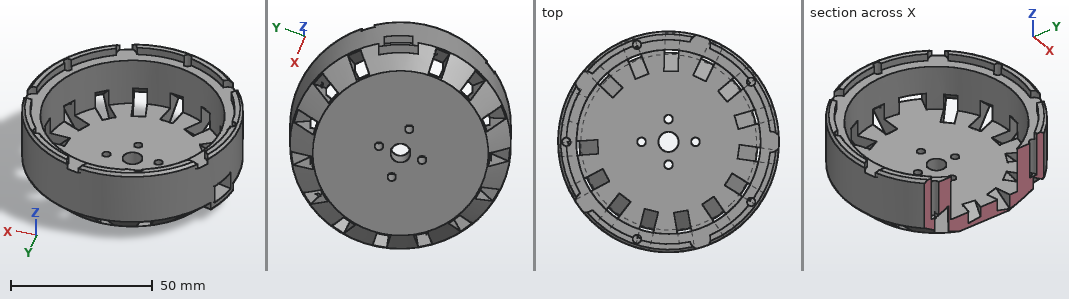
import cadquery as cq
import math

outer_radius = 39.0
height = 28.85
bore_radius = 65.0 / 2
floor_z = 7.0
cone_height = 8.0
base_radius = outer_radius - cone_height
rim_chamfer = 1.0
rim_inner_radius = 36.0
rim_height = 3.0
ledge_z = height - rim_height

center_hole_diameter = 7.0
screw_hole_diameter = 3.0
screw_spacing_x = 19.0
screw_spacing_y = 16.1

rim_feature_count = 5
rim_pitch = 360 / rim_feature_count
first_rim_hole_angle = rim_pitch / 2
rim_hole_bottom_z = 10.8
notch_diameter = 7.3

vent_count = 15
vent_pitch = 360 / vent_count
port_angle = 160.0
vent_width = 5.0
vent_thickness = 10.0
vent_tilt = 45.0
vent_length = outer_radius

port_width = 10.0
port_height = 7.0
block_width = 14.0
block_bottom_z = 5.0
cut_overlap = 3.9


def at_polar(radius, angle):
    """Point at a given radius and angle (degrees) around the Z axis."""
    return (radius * math.cos(math.radians(angle)), radius * math.sin(math.radians(angle)))


def revolve_profile(points):
    """Turn a closed (radius, z) outline around the Z axis."""
    return cq.Workplane("XZ").polyline(points).close().revolve(360, (0, 0, 0), (0, 1, 0))


def wall_box(width, bottom_z, top_z, angle):
    """Box that spans the wall radially, reaching past both faces, turned to an angle."""
    inner_radius = bore_radius - cut_overlap
    length = outer_radius + cut_overlap - inner_radius
    box = cq.Workplane("XY").box(length, width, top_z - bottom_z, centered=(False, True, False))
    return box.translate((inner_radius, 0, bottom_z)).rotate((0, 0, 0), (0, 0, 1), angle)


def make_shell():
    return revolve_profile([
        (0, 0),
        (base_radius, 0),
        (outer_radius, cone_height),
        (outer_radius, height - rim_chamfer),
        (outer_radius - rim_chamfer, height),
        (rim_inner_radius, height),
        (rim_inner_radius, ledge_z),
        (bore_radius, ledge_z),
        (bore_radius, floor_z),
        (0, floor_z),
    ])


def make_port_block():
    """Solid block from the bore to the outer cylinder, flush with the round wall."""
    block = wall_box(block_width, block_bottom_z, cone_height, port_angle)
    wall = cq.Workplane("XY").circle(outer_radius).circle(bore_radius).extrude(height)
    return block.intersect(wall)


def make_port_cut():
    return wall_box(port_width, floor_z, floor_z + port_height, port_angle)


def make_vent(angle):
    """Box centred on the middle of the cone face and square to it, turned to an angle."""
    vent = cq.Workplane("XY").box(vent_length, vent_width, vent_thickness)
    vent = vent.rotate((0, 0, 0), (0, 1, 0), vent_tilt)
    vent = vent.translate(((base_radius + outer_radius) / 2, 0, cone_height / 2))
    return vent.rotate((0, 0, 0), (0, 0, 1), angle)


def cut_floor_holes(body):
    screw_points = [
        (screw_spacing_x / 2, 0),
        (-screw_spacing_x / 2, 0),
        (0, screw_spacing_y / 2),
        (0, -screw_spacing_y / 2),
    ]
    center_hole = cq.Workplane("XY").circle(center_hole_diameter / 2).extrude(floor_z)
    screw_holes = cq.Workplane("XY").pushPoints(screw_points)
    screw_holes = screw_holes.circle(screw_hole_diameter / 2).extrude(floor_z)
    return body.cut(center_hole).cut(screw_holes)


def cut_from_top(body, diameter, bottom_z, first_angle):
    """Evenly spaced round cuts centred on the inner edge of the rim."""
    points = [at_polar(rim_inner_radius, first_angle + i * rim_pitch) for i in range(rim_feature_count)]
    plane = cq.Workplane("XY").workplane(offset=bottom_z)
    return body.cut(plane.pushPoints(points).circle(diameter / 2).extrude(height - bottom_z))


body = make_shell().union(make_port_block())
body = body.cut(make_port_cut())
for i in range(1, vent_count):
    body = body.cut(make_vent(port_angle + i * vent_pitch))
body = cut_floor_holes(body)
body = cut_from_top(body, screw_hole_diameter, rim_hole_bottom_z, first_rim_hole_angle)
body = cut_from_top(body, notch_diameter, ledge_z, 0)

result = body